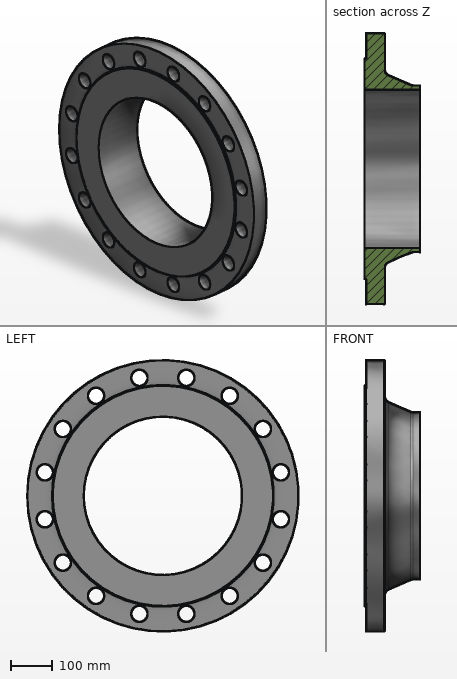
import cadquery as cq

flange_diameter = 660.0
total_length = 135.0
flange_back_x = 50.0
raised_face_diameter = 535.0
raised_face_height = 4.0
raised_face_flare = 2.0
rim_chamfer = 2.0

bore_diameter = 384.0
pipe_diameter = 406.5
hub_diameter = 463.0
cone_end_x = 115.5
hub_fillet = 13.0
pipe_fillet = 15.0

bolt_count = 16
bolt_hole_diameter = 39.0
bolt_circle_diameter = 585.0

flange_radius = flange_diameter / 2
raised_face_radius = raised_face_diameter / 2
bore_radius = bore_diameter / 2
pipe_radius = pipe_diameter / 2
hub_radius = hub_diameter / 2


def circle_at(x, radius):
    """Selector for the circular edge of the given radius around the X axis at x."""
    reach = 0.05
    return cq.selectors.BoxSelector(
        (x - reach, -radius - reach, -radius - reach),
        (x + reach, radius + reach, radius + reach),
        boundingbox=True,
    )


def flange_body():
    """Plate, raised face, cone and pipe end as one revolved half section."""
    section = (
        cq.Workplane("XY")
        .moveTo(0, 0)
        .lineTo(0, raised_face_radius)
        .lineTo(raised_face_height, raised_face_radius + raised_face_flare)
        .lineTo(raised_face_height, flange_radius)
        .lineTo(flange_back_x - rim_chamfer, flange_radius)
        .lineTo(flange_back_x, flange_radius - rim_chamfer)
        .lineTo(flange_back_x, hub_radius)
        .lineTo(cone_end_x, pipe_radius)
        .lineTo(total_length, pipe_radius)
        .lineTo(total_length, 0)
        .close()
    )
    body = section.revolve(360, (0, 0, 0), (1, 0, 0))
    body = body.edges(circle_at(flange_back_x, hub_radius)).fillet(hub_fillet)
    return body.edges(circle_at(cone_end_x, pipe_radius)).fillet(pipe_fillet)


def bore():
    return cq.Workplane("YZ").circle(bore_radius).extrude(total_length)


def bolt_holes():
    """Ring of through holes, straddling the Y and Z axes by half a pitch."""
    half_pitch = 360 / bolt_count / 2
    return (
        cq.Workplane("YZ")
        .polarArray(bolt_circle_diameter / 2, half_pitch, 360, bolt_count)
        .circle(bolt_hole_diameter / 2)
        .extrude(flange_back_x)
    )


result = flange_body().cut(bore()).cut(bolt_holes())